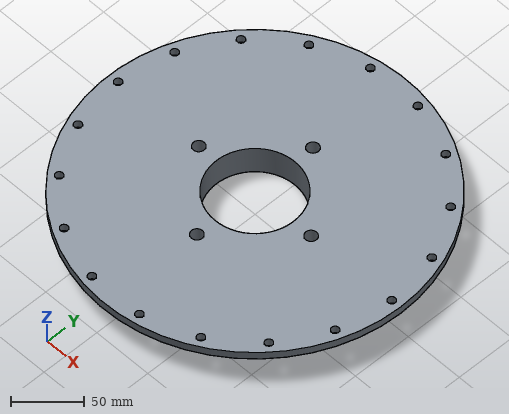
import cadquery as cq

flange_diameter = 285.0
flange_thickness = 7.0
hub_diameter = 245.0
total_height = 25.0
bore_diameter = 75.0
flange_bottom = total_height - flange_thickness

rim_hole_count = 18
rim_hole_diameter = 6.5
rim_circle_diameter = 268.0

mount_hole_count = 4
mount_hole_diameter = 10.0
mount_circle_diameter = 110.0
pad_diameter = 20.0
pad_bottom = flange_bottom


def disc(diameter, bottom):
    """Round disc on the Z axis, from the given height up to the top face."""
    return cq.Workplane("XY").workplane(offset=bottom).circle(diameter / 2).extrude(total_height - bottom)


def disc_pattern(circle_diameter, count, diameter, bottom):
    """Equally spaced discs up to the top face, the first one on the +X side."""
    return (
        cq.Workplane("XY")
        .workplane(offset=bottom)
        .polarArray(circle_diameter / 2, 0, 360, count)
        .circle(diameter / 2)
        .extrude(total_height - bottom)
    )


def make_flange():
    """Drilled ring that surrounds the top of the hub."""
    rim_holes = disc_pattern(rim_circle_diameter, rim_hole_count, rim_hole_diameter, flange_bottom)
    return disc(flange_diameter, flange_bottom).cut(disc(hub_diameter, flange_bottom)).cut(rim_holes)


def make_hub(pads, mount_holes):
    """Full-height centre disc with the bore, the mounting holes and room for the pads."""
    return disc(hub_diameter, 0).cut(disc(bore_diameter, 0)).cut(mount_holes).cut(pads)


mount_holes = disc_pattern(mount_circle_diameter, mount_hole_count, mount_hole_diameter, 0)
pads = disc_pattern(mount_circle_diameter, mount_hole_count, pad_diameter, pad_bottom)
hub = make_hub(pads, mount_holes)

result = hub.union(make_flange(), clean=False).union(pads.cut(mount_holes), clean=False)